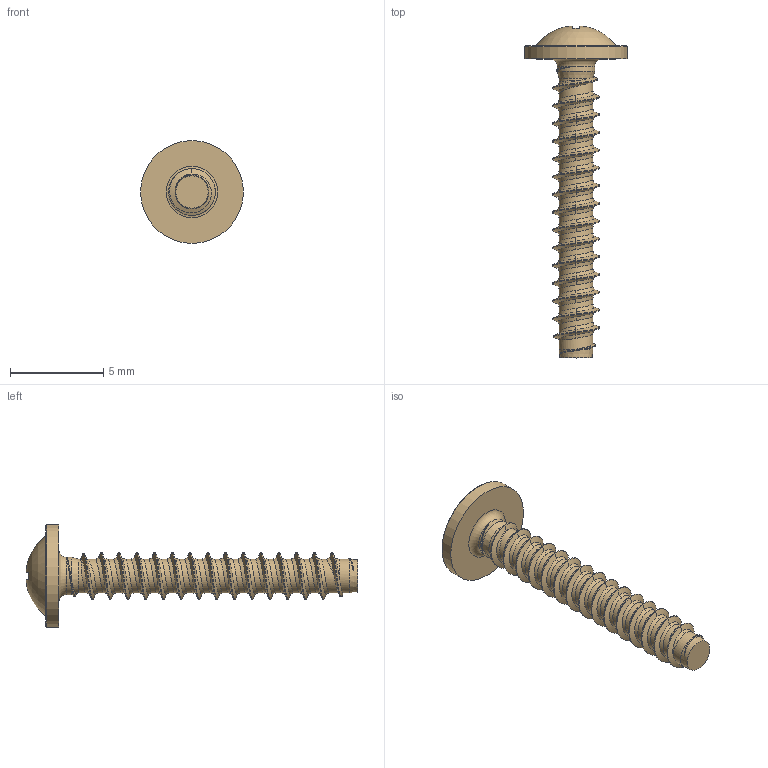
import math

import cadquery as cq


head_height = 1.78
flange_diameter = 5.5
flange_thickness = 0.7
flange_edge_chamfer = 0.04
dome_base_diameter = 4.3

recess_width = 0.44
recess_span = 1.8
recess_depth = 1.0
recess_taper = 8.0

shank_length = 16.0
core_radius = 0.905
neck_radius = 1.01
neck_fillet = 0.38
neck_end = -0.66
core_start = -1.04
tip_radius = 0.865
tip_taper_length = 0.45

pitch = 0.95
crest_radius = 1.25
crest_half_width = 0.02
knee_radius = 0.96
knee_half_width = 0.13
root_radius = 0.885
root_half_width = 0.4
turns = 17
crest_y_on_plus_x = -14.38
turns_above_crest_mark = 14.75
thread_start = crest_y_on_plus_x + turns_above_crest_mark * pitch
run_in_end = -1.54
run_out_start = -14.7
run_in_sink = 0.25
run_out_sink = 0.45
thread_tip_gap = 0.05
points_per_turn = 16
trimmed_turns = 2


def revolve_about_screw_axis(outline):
    return outline.close().revolve(360, (0, 0, 0), (0, 1, 0))


def make_head():
    """Flange with a spherical dome on top."""
    flange_radius = flange_diameter / 2
    dome_base_radius = dome_base_diameter / 2
    dome_rise = head_height - flange_thickness
    sphere_radius = (dome_base_radius**2 + dome_rise**2) / (2 * dome_rise)
    mid_radius = dome_base_radius / 2
    mid_height = head_height - sphere_radius + math.sqrt(sphere_radius**2 - mid_radius**2)
    outline = (
        cq.Workplane("XY")
        .lineTo(flange_radius, 0)
        .lineTo(flange_radius, flange_thickness - flange_edge_chamfer)
        .lineTo(flange_radius - flange_edge_chamfer, flange_thickness)
        .lineTo(dome_base_radius, flange_thickness)
        .threePointArc((mid_radius, mid_height), (0, head_height))
    )
    return revolve_about_screw_axis(outline)


def make_recess():
    """Tapered cross-shaped cutter sunk from the top of the dome."""
    cutter = None
    for length, width in ((recess_span, recess_width), (recess_width, recess_span)):
        wing = (
            cq.Workplane("XZ", origin=(0, head_height, 0))
            .rect(length, width)
            .extrude(recess_depth, taper=recess_taper)
        )
        cutter = wing if cutter is None else cutter.union(wing)
    return cutter


def make_shank():
    """Neck with a fillet under the flange, threaded core and tapered tip."""
    fillet_foot = neck_radius + neck_fillet
    arc_inset = neck_fillet * (1 - math.sqrt(0.5))
    outline = (
        cq.Workplane("XY")
        .lineTo(fillet_foot, 0)
        .threePointArc((neck_radius + arc_inset, -arc_inset), (neck_radius, -neck_fillet))
        .lineTo(neck_radius, neck_end)
        .lineTo(core_radius, core_start)
        .lineTo(core_radius, tip_taper_length - shank_length)
        .lineTo(tip_radius, -shank_length)
        .lineTo(0, -shank_length)
    )
    return revolve_about_screw_axis(outline)


def thread_sink(y):
    """Distance the thread section is sunk into the core at its two faded ends."""
    if y > run_in_end:
        return run_in_sink * (y - run_in_end) / (thread_start - run_in_end)
    if y < run_out_start:
        return run_out_sink * (run_out_start - y) / (run_out_start + shank_length)
    return 0.0


def thread_edge(radius, offset, turn):
    """One turn of a helical thread edge at a radius and an axial offset from the crest line."""
    points = []
    for step in range(points_per_turn + 1):
        y = thread_start - (turn + step / points_per_turn) * pitch
        angle = math.tau * (crest_y_on_plus_x - y) / pitch
        sunk_radius = radius - thread_sink(y)
        points.append(cq.Vector(sunk_radius * math.cos(angle), y + offset, sunk_radius * math.sin(angle)))
    return cq.Edge.makeSpline(points)


def make_thread_turn(turn):
    """One solid turn of the ridge: ruled faces between its helical edges, closed by two end caps."""
    section = [
        (root_radius, root_half_width),
        (knee_radius, knee_half_width),
        (crest_radius, crest_half_width),
        (crest_radius, -crest_half_width),
        (knee_radius, -knee_half_width),
        (root_radius, -root_half_width),
    ]
    edges = [thread_edge(radius, offset, turn) for radius, offset in section]
    faces = [cq.Face.makeRuledSurface(edges[i - 1], edges[i]) for i in range(len(edges))]
    for end in (0, 1):
        corners = [edge.positionAt(end) for edge in edges]
        faces.append(cq.Face.makeFromWires(cq.Wire.makePolygon(corners, close=True)))
    return cq.Workplane(cq.Solid.makeSolid(cq.Shell.makeShell(faces)))


def make_thread_limit():
    """Cylinder that stops the sunk end of the thread inside the core, just short of the tip."""
    return cq.Workplane("XZ").circle(flange_diameter / 2).extrude(shank_length - thread_tip_gap)


screw = make_head().cut(make_recess()).union(make_shank())
for turn in range(turns):
    ridge = make_thread_turn(turn)
    if turn >= turns - trimmed_turns:
        ridge = ridge.intersect(make_thread_limit())
    screw = screw.union(ridge, clean=False)
result = cq.Workplane(screw.solids().val())